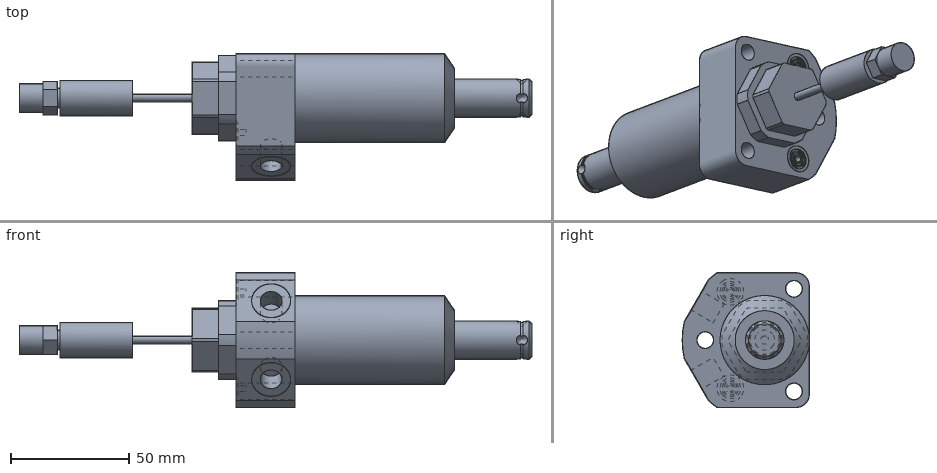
import cadquery as cq
import math

total_length = 217.0

tip_diameter = 12.4
tip_end = 10.0
nut_end = 16.0
nut_width = tip_diameter
neck_diameter = 8.5
neck_end = 17.1
sleeve_diameter = 15.0
sleeve_end = 48.0
cable_diameter = 3.5

small_hex_start = 73.1
small_hex_width = 27.1
small_hex_corner_diameter = 30.5
large_hex_start = 84.2
large_hex_width = 33.5
large_hex_corner_diameter = 36.2

flange_start = 91.5
flange_thickness = 25.2
flange_height = 57.0
flange_flat_y = 18.9
flange_round_radius = 35.0
flange_corner_radius = 5.6
flank_distance = 33.5
flank_angle = 30.0

mount_hole_diameter = 7.0
mount_hole_y = 12.4
mount_hole_z = 21.7
nose_hole_y = -25.2

flank_port_x = 106.5
flank_port_diameter = 9.1
flank_port_depth = 10.8
flank_seat_diameter = 16.5

face_port_y = -14.5
face_port_z = 20.5
face_port_diameter = 2.5
face_port_depth = 4.3
face_seat_diameter = 11.3
seal_groove_inner_diameters = (4.0, 7.0)
seal_groove_width = 0.9
seal_groove_depth = 0.7
seat_depth = 0.2

body_diameter = 2 * flange_flat_y
body_end = 184.2
body_taper_length = 4.3
body_end_diameter = 25.0
plunger_diameter = 16.3
plunger_chamfer = 1.3
groove_x = 212.6
groove_width = 1.0
groove_depth = 0.5
dimple_diameter = 4.8
dimple_depth = dimple_diameter / 2


def x_plane(x):
    """Plane facing +X whose local axes are Y and Z."""
    return cq.Workplane("YZ", origin=(x, 0, 0))


def x_cylinder(start, end, diameter):
    return x_plane(start).circle(diameter / 2).extrude(end - start)


def x_hexagon(start, end, width):
    """Hexagonal bar with flats facing +Z and -Z."""
    corner_diameter = width / math.cos(math.radians(30))
    return x_plane(start).polygon(6, corner_diameter).extrude(end - start)


def drill(position, direction, diameter, depth):
    """Cutting cylinder that starts at a surface point and runs inward."""
    start = cq.Vector(*position)
    tool = cq.Solid.makeCylinder(diameter / 2, depth, start, cq.Vector(*direction))
    return cq.Workplane(tool)


def cable_plug():
    plug = x_cylinder(0, tip_end, tip_diameter)
    plug = plug.union(x_hexagon(tip_end, nut_end, nut_width))
    plug = plug.union(x_cylinder(nut_end, neck_end, neck_diameter))
    plug = plug.union(x_cylinder(neck_end, sleeve_end, sleeve_diameter))
    return plug.union(x_cylinder(sleeve_end, small_hex_start, cable_diameter))


def rounded_hexagon(start, end, width, corner_diameter):
    return x_hexagon(start, end, width).intersect(x_cylinder(start, end, corner_diameter))


def flange():
    """Plate with a flat +Y side, cut from a round blank and trimmed by two sloping flanks."""
    slope = math.radians(flank_angle)
    half_height = flange_height / 2
    flange_end = flange_start + flange_thickness
    apex_y = -flank_distance / math.cos(slope)
    shoulder_y = apex_y + half_height * math.tan(slope)
    outline = [
        (flange_flat_y, -half_height),
        (flange_flat_y, half_height),
        (shoulder_y, half_height),
        (apex_y, 0),
        (shoulder_y, -half_height),
    ]
    plate = x_plane(flange_start).polyline(outline).close().extrude(flange_thickness)
    plate = plate.edges("|X").edges(">Y").fillet(flange_corner_radius)
    plate = plate.intersect(x_cylinder(flange_start, flange_end, 2 * flange_round_radius))

    mount_points = [(mount_hole_y, mount_hole_z), (mount_hole_y, -mount_hole_z), (nose_hole_y, 0)]
    mount_holes = x_plane(flange_start).pushPoints(mount_points).circle(mount_hole_diameter / 2)
    plate = plate.cut(mount_holes.extrude(flange_thickness))

    for side in (1, -1):
        inward = (0, math.cos(slope), -side * math.sin(slope))
        flank_point = (flank_port_x, -flank_distance * inward[1], -flank_distance * inward[2])
        plate = plate.cut(drill(flank_point, inward, flank_seat_diameter, seat_depth))
        plate = plate.cut(drill(flank_point, inward, flank_port_diameter, flank_port_depth))
        plate = plate.cut(face_port(side * face_port_z))
    return plate


def face_port(z):
    """Cutter for one face port: shallow seat, central bore and sealing grooves."""
    face_point = (flange_start, face_port_y, z)
    inward = (1, 0, 0)
    cutter = drill(face_point, inward, face_seat_diameter, seat_depth)
    cutter = cutter.union(drill(face_point, inward, face_port_diameter, face_port_depth))
    for inner_diameter in seal_groove_inner_diameters:
        ring = (
            x_plane(flange_start)
            .center(face_port_y, z)
            .circle(inner_diameter / 2 + seal_groove_width)
            .circle(inner_diameter / 2)
            .extrude(seat_depth + seal_groove_depth)
        )
        cutter = cutter.union(ring)
    return cutter


def body():
    """Cylinder with a tapered +X end."""
    taper_drop = (body_diameter - body_end_diameter) / 2
    cylinder = x_cylinder(flange_start + flange_thickness, body_end, body_diameter)
    return cylinder.faces(">X").edges().chamfer(body_taper_length, taper_drop)


def plunger():
    """Chamfered rod with a ring groove and four conical dimples on the groove."""
    radius = plunger_diameter / 2
    rod = x_cylinder(body_end, total_length, plunger_diameter)
    rod = rod.faces(">X").edges().chamfer(plunger_chamfer)
    groove = (
        x_plane(groove_x - groove_width / 2)
        .circle(radius)
        .circle(radius - groove_depth)
        .extrude(groove_width)
    )
    rod = rod.cut(groove)
    for y, z in ((1, 0), (-1, 0), (0, 1), (0, -1)):
        surface_point = cq.Vector(groove_x, y * radius, z * radius)
        inward = cq.Vector(0, -y, -z)
        dimple = cq.Solid.makeCone(dimple_diameter / 2, 0, dimple_depth, surface_point, inward)
        rod = rod.cut(cq.Workplane(dimple))
    return rod


result = cable_plug()
result = result.union(
    rounded_hexagon(small_hex_start, large_hex_start, small_hex_width, small_hex_corner_diameter)
)
result = result.union(
    rounded_hexagon(large_hex_start, flange_start, large_hex_width, large_hex_corner_diameter)
)
result = result.union(flange()).union(body()).union(plunger())